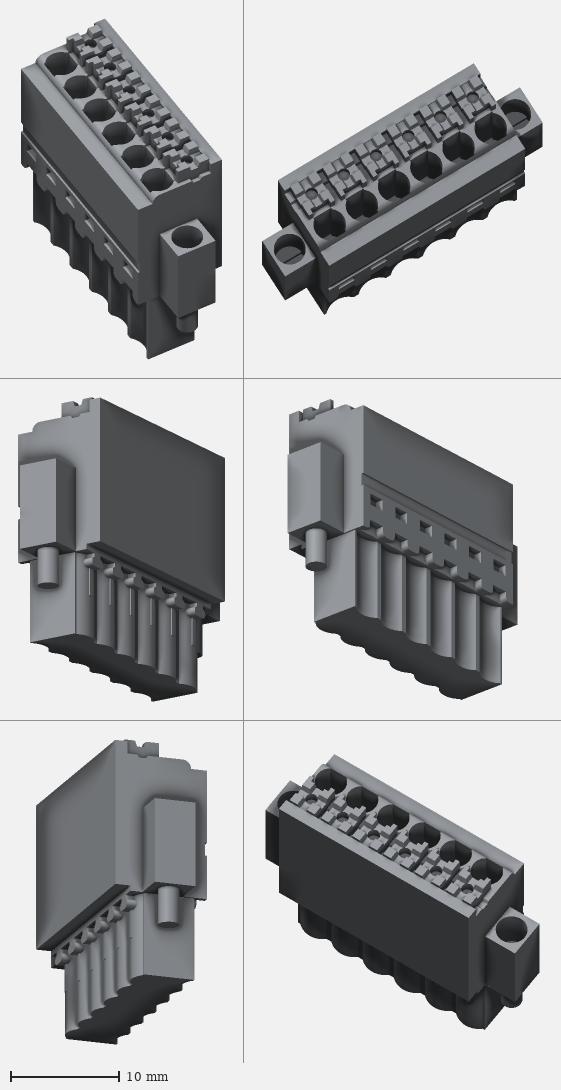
import cadquery as cq
import math


POLE_COUNT = 6
PITCH = 3.5
POLE_XS = [(i - (POLE_COUNT - 1) / 2) * PITCH for i in range(POLE_COUNT)]
TOP_OFFSET = 0.1

HOUSING_WIDTH = 21.3
HOUSING_DEPTH = 9.0
HOUSING_BOTTOM = 7.9
SHOULDER_Z = 20.35
DECK_Z = 21.17
BACK_WALL_TOP = 22.35
BACK_WALL_FRONT_Y = 7.82
DECK_FRONT_Y = 1.55
DECK_EDGE_RADIUS = DECK_Z - SHOULDER_Z
BACK_STEP_Y = 7.5
BACK_STEP_Z = 8.4
BAND_BOTTOM = 12.1
BAND_TOP = 13.35
BAND_DEPTH = 0.2

GROOVE_Y = 6.3
GROOVE_TOP_WIDTH = 1.08
GROOVE_FLOOR_WIDTH = 0.7
DECK_GROOVE_DEPTH = 0.27
BUTTON_GROOVE_DEPTH = 0.55

PLUG_WIDTH = 20.95
PLUG_FRONT_Y = 1.17
PLUG_BACK_Y = 6.13
POLE_ARC_CHORD = 2.97
POLE_ARC_HEIGHT = 0.6
KEY_WIDTH = 0.5
KEY_HEIGHT = 0.08
KEY_BOTTOM = 4.0

HOOK_WIDTH = 1.8
HOOK_HEIGHT = 0.88
HOOK_BOTTOM = 6.63
HOOK_NECK_WIDTH = 1.0

FRONT_RECESS_DEPTH = 0.8
WINDOW_WIDTH = 1.7
WINDOW_BOTTOM = 10.47
WINDOW_TOP = 11.6
NOTCH_WIDTH = 1.84
NOTCH_TOP = 8.87
NOTCH_FLARE_RADIUS = 0.5

BUTTON_WIDTH = 2.8
BUTTON_FRONT_Y = 4.51
BUTTON_TOP = 22.7
BUTTON_SEAT_DEPTH = 1.0
BUTTON_SEAT_Z = DECK_Z - BUTTON_SEAT_DEPTH
BUTTON_RECESS_WIDTH = 1.93
BUTTON_RECESS_DEPTH = 0.47
PROBE_HOLE_DIAMETER = 1.17
PROBE_HOLE_DEPTH = 1.5

WIRE_HOLE_DIAMETER = 3.0
WIRE_HOLE_Y = 3.14
WIRE_HOLE_FRONT_Y = 1.82
WIRE_HOLE_DEPTH = 9.0

OVERALL_WIDTH = 28.0
FLANGE_FRONT_Y = 2.33
FLANGE_DEPTH = 4.0
FLANGE_TOP = 16.0
SCREW_X = 12.25
SCREW_Y = FLANGE_FRONT_Y + FLANGE_DEPTH / 2
COUNTERBORE_DIAMETER = 2.95
COUNTERBORE_FLOOR_Z = 10.0

HEAD_DIAMETER = 2.8
HEAD_HEIGHT = 2.0
SHANK_DIAMETER = 2.0
SHANK_BOTTOM = 4.45
SLOT_WIDTH = 0.36
SLOT_DEPTH = 0.6


def block(x_range, y_range, z_range):
    """Box spanning the given (low, high) ranges."""
    size = [high - low for low, high in (x_range, y_range, z_range)]
    corner = (x_range[0], y_range[0], z_range[0])
    return cq.Workplane("XY").box(*size, centered=False).translate(corner)


def span(center, width):
    return (center - width / 2, center + width / 2)


def cylinder(diameter, center, z_range):
    """Upright cylinder about the (x, y) center."""
    bottom, top = z_range
    base = cq.Workplane("XY").workplane(offset=bottom).center(*center)
    return base.circle(diameter / 2).extrude(top - bottom)


def groove_points(center, surface_z, depth):
    """Corners of a groove section sunk into a level surface, from low to high coordinate."""
    half_top = GROOVE_TOP_WIDTH / 2
    half_floor = GROOVE_FLOOR_WIDTH / 2
    return [
        (center - half_top, surface_z),
        (center - half_floor, surface_z - depth),
        (center + half_floor, surface_z - depth),
        (center + half_top, surface_z),
    ]



def housing_block():
    """Side outline of the block, extruded along the row."""
    arc_offset = DECK_EDGE_RADIUS * (1 - math.sqrt(0.5))
    outline = (
        cq.Workplane("YZ")
        .moveTo(0, HOUSING_BOTTOM)
        .lineTo(0, BAND_BOTTOM)
        .lineTo(BAND_DEPTH, BAND_BOTTOM)
        .lineTo(BAND_DEPTH, BAND_TOP)
        .lineTo(0, BAND_TOP)
        .lineTo(0, SHOULDER_Z)
        .lineTo(DECK_FRONT_Y, SHOULDER_Z)
        .threePointArc(
            (DECK_FRONT_Y + arc_offset, DECK_Z - arc_offset),
            (DECK_FRONT_Y + DECK_EDGE_RADIUS, DECK_Z),
        )
    )
    for point in groove_points(GROOVE_Y, DECK_Z, DECK_GROOVE_DEPTH):
        outline = outline.lineTo(*point)
    outline = (
        outline.lineTo(BACK_WALL_FRONT_Y, DECK_Z)
        .lineTo(BACK_WALL_FRONT_Y, BACK_WALL_TOP)
        .lineTo(HOUSING_DEPTH, BACK_WALL_TOP)
        .lineTo(HOUSING_DEPTH, BACK_STEP_Z)
        .lineTo(BACK_STEP_Y, BACK_STEP_Z)
        .lineTo(BACK_STEP_Y, HOUSING_BOTTOM)
        .close()
    )
    return outline.extrude(HOUSING_WIDTH / 2, both=True)


def plug():
    """Plug with a hollow arc on the front and a bulging arc on the back of every pole."""
    half_width = PLUG_WIDTH / 2
    outline = cq.Workplane("XY").moveTo(-half_width, PLUG_FRONT_Y)
    for x in POLE_XS:
        start, end = span(x, POLE_ARC_CHORD)
        crest = (x, PLUG_FRONT_Y + POLE_ARC_HEIGHT)
        outline = outline.lineTo(start, PLUG_FRONT_Y).threePointArc(crest, (end, PLUG_FRONT_Y))
    outline = outline.lineTo(half_width, PLUG_FRONT_Y).lineTo(half_width, PLUG_BACK_Y)
    for x in reversed(POLE_XS):
        end, start = span(x, POLE_ARC_CHORD)
        crest = (x, PLUG_BACK_Y + POLE_ARC_HEIGHT)
        outline = outline.lineTo(start, PLUG_BACK_Y).threePointArc(crest, (end, PLUG_BACK_Y))
    outline = outline.lineTo(-half_width, PLUG_BACK_Y).close()
    return outline.extrude(HOUSING_BOTTOM)


def plug_key(x):
    """Low rib down the upper back of a pole."""
    key_back_y = PLUG_BACK_Y + POLE_ARC_HEIGHT + KEY_HEIGHT
    return block(span(x, KEY_WIDTH), (PLUG_BACK_Y, key_back_y), (KEY_BOTTOM, HOUSING_BOTTOM))


def coding_hook(x):
    """Round-ended bar on a neck, hanging below the back edge of the housing."""
    y_range = (PLUG_BACK_Y, BACK_STEP_Y)
    center_z = HOOK_BOTTOM + HOOK_HEIGHT / 2
    neck = block(span(x, HOOK_NECK_WIDTH), y_range, (center_z, HOUSING_BOTTOM))
    bar = (
        cq.Workplane("XZ", origin=(x, BACK_STEP_Y, center_z))
        .slot2D(HOOK_WIDTH, HOOK_HEIGHT)
        .extrude(BACK_STEP_Y - PLUG_BACK_Y)
    )
    return neck.union(bar)


def front_window(x):
    return block(span(x, WINDOW_WIDTH), (0, FRONT_RECESS_DEPTH), (WINDOW_BOTTOM, WINDOW_TOP))


def front_notch(x):
    """Notch in the lower front edge; the wall beside it ends in rounded corners."""
    radius = NOTCH_FLARE_RADIUS
    half_width = NOTCH_WIDTH / 2
    half_mouth = half_width + radius
    arc_x = half_mouth - radius * math.sqrt(0.5)
    arc_z = HOUSING_BOTTOM + radius * (1 - math.sqrt(0.5))
    return (
        cq.Workplane("XZ")
        .moveTo(x - half_mouth, HOUSING_BOTTOM)
        .threePointArc((x - arc_x, arc_z), (x - half_width, HOUSING_BOTTOM + radius))
        .lineTo(x - half_width, NOTCH_TOP)
        .lineTo(x + half_width, NOTCH_TOP)
        .lineTo(x + half_width, HOUSING_BOTTOM + radius)
        .threePointArc((x + arc_x, arc_z), (x + half_mouth, HOUSING_BOTTOM))
        .close()
        .extrude(-FRONT_RECESS_DEPTH)
    )


def wire_hole(x):
    z_range = (DECK_Z - WIRE_HOLE_DEPTH, DECK_Z)
    y_range = (WIRE_HOLE_FRONT_Y, BUTTON_FRONT_Y)
    channel = block(span(x, BUTTON_RECESS_WIDTH), y_range, z_range)
    flats = block(span(x, WIRE_HOLE_DIAMETER), y_range, z_range)
    return cylinder(WIRE_HOLE_DIAMETER, (x, WIRE_HOLE_Y), z_range).intersect(flats).union(channel)


def button_ledge_cut(x):
    """Sinks the ledge that fills the button's front recess down to the deck groove floor."""
    y_range = (BUTTON_FRONT_Y, BUTTON_FRONT_Y + BUTTON_RECESS_DEPTH)
    return block(span(x, BUTTON_RECESS_WIDTH), y_range, (DECK_Z - DECK_GROOVE_DEPTH, DECK_Z))


def flange(side):
    """Screw flange on one end of the housing; side is -1 or 1."""
    x_range = sorted((side * HOUSING_WIDTH / 2, side * OVERALL_WIDTH / 2))
    y_range = (FLANGE_FRONT_Y, FLANGE_FRONT_Y + FLANGE_DEPTH)
    center = (side * SCREW_X, SCREW_Y)
    lug = block(x_range, y_range, (HOUSING_BOTTOM, FLANGE_TOP))
    counterbore = cylinder(COUNTERBORE_DIAMETER, center, (COUNTERBORE_FLOOR_Z, FLANGE_TOP))
    shank_hole = cylinder(SHANK_DIAMETER, center, (HOUSING_BOTTOM, COUNTERBORE_FLOOR_Z))
    return lug.cut(counterbore).cut(shank_hole)


def make_housing():
    body = housing_block().union(plug())
    for side in (-1, 1):
        body = body.union(flange(side))
    for x in POLE_XS:
        body = body.union(plug_key(x)).union(coding_hook(x))
        body = body.cut(front_window(x)).cut(front_notch(x))
        body = body.cut(wire_hole(x + TOP_OFFSET)).cut(button_blank(x + TOP_OFFSET))
        body = body.cut(button_ledge_cut(x + TOP_OFFSET))
    return body



def button_blank(x):
    """Button body with its front recess, which also shapes its seat in the housing."""
    z_range = (BUTTON_SEAT_Z, BUTTON_TOP)
    recess_y = (BUTTON_FRONT_Y, BUTTON_FRONT_Y + BUTTON_RECESS_DEPTH)
    body = block(span(x, BUTTON_WIDTH), (BUTTON_FRONT_Y, BACK_WALL_FRONT_Y), z_range)
    return body.cut(block(span(x, BUTTON_RECESS_WIDTH), recess_y, z_range))


def make_button(x):
    """Button with crossed grooves and a round probe hole where they meet."""
    long_groove = (
        cq.Workplane("XZ")
        .polyline(groove_points(x, BUTTON_TOP, BUTTON_GROOVE_DEPTH))
        .close()
        .extrude(-HOUSING_DEPTH)
    )
    cross_groove = (
        cq.Workplane("YZ", origin=(x, 0, 0))
        .polyline(groove_points(GROOVE_Y, BUTTON_TOP, BUTTON_GROOVE_DEPTH))
        .close()
        .extrude(BUTTON_WIDTH, both=True)
    )
    probe_range = (BUTTON_TOP - PROBE_HOLE_DEPTH, BUTTON_TOP)
    probe_hole = cylinder(PROBE_HOLE_DIAMETER, (x, GROOVE_Y), probe_range)
    return button_blank(x).cut(long_groove).cut(cross_groove).cut(probe_hole)



def make_screw(x):
    """Slotted screw whose head rests on the counterbore floor."""
    head_top = COUNTERBORE_FLOOR_Z + HEAD_HEIGHT
    head = cylinder(HEAD_DIAMETER, (x, SCREW_Y), (COUNTERBORE_FLOOR_Z, head_top))
    shank = cylinder(SHANK_DIAMETER, (x, SCREW_Y), (SHANK_BOTTOM, COUNTERBORE_FLOOR_Z))
    slot = block(span(x, HEAD_DIAMETER), span(SCREW_Y, SLOT_WIDTH), (head_top - SLOT_DEPTH, head_top))
    return head.union(shank).cut(slot)


housing = make_housing()
buttons = [make_button(x + TOP_OFFSET) for x in POLE_XS]
screws = [make_screw(side * SCREW_X) for side in (-1, 1)]

result = cq.Compound.makeCompound([body.val() for body in [housing, *buttons, *screws]])